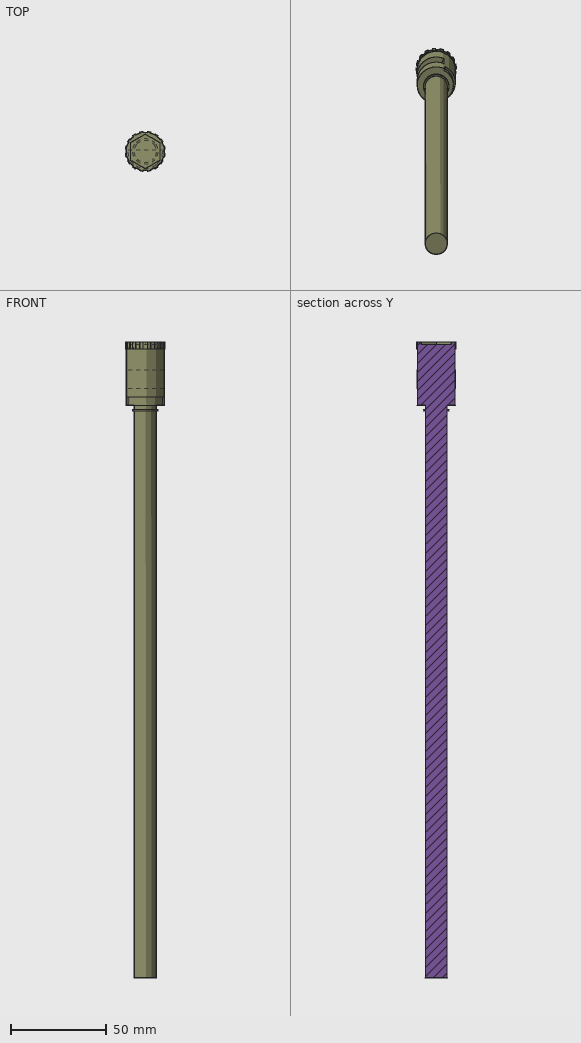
import cadquery as cq
import math

total_height = 334.0
head_height = 33.5
head_bottom = total_height - head_height

rod_diameter = 11.7
collar_diameter = 13.5
head_diameter = 20.0
knurl_diameter = 21.0
step_diameter = 18.0

collar_height = 1.0
collar_gap = 2.0

step_height = 4.5

knurl_height = 3.7
groove_count = 16
groove_width = 2.5
groove_depth = 0.7

hex_across_flats = 15.7
hex_depth = 1.5

notch_top_depth = 14.7
notch_height = 9.7
notch_wall_y = 0.7


def cylinder(diameter, bottom, height):
    return cq.Workplane("XY").workplane(offset=bottom).circle(diameter / 2).extrude(height)


def make_head():
    head = cylinder(head_diameter, head_bottom, head_height)
    step_ring = cylinder(knurl_diameter, head_bottom, step_height).cut(
        cylinder(step_diameter, head_bottom, step_height)
    )
    front_half = cq.Workplane("XY").box(
        knurl_diameter, knurl_diameter, total_height, centered=(True, False, False)
    ).translate((0, -knurl_diameter, 0))
    return head.cut(step_ring.intersect(front_half))


def make_knurl_grooves():
    return (
        cq.Workplane("XY")
        .workplane(offset=total_height - knurl_height)
        .polarArray(knurl_diameter / 2, 0, 360, groove_count)
        .rect(2 * groove_depth, groove_width)
        .extrude(knurl_height)
    )


def make_hex_recess():
    across_corners = hex_across_flats / math.cos(math.radians(30))
    return (
        cq.Workplane("XY")
        .workplane(offset=total_height - hex_depth)
        .transformed(rotate=(0, 0, 90))
        .polygon(6, across_corners)
        .extrude(hex_depth)
    )


def make_notch():
    notch_bottom = total_height - notch_top_depth - notch_height
    return cq.Workplane("XY").box(
        knurl_diameter, knurl_diameter, notch_height, centered=(True, False, False)
    ).translate((0, notch_wall_y, notch_bottom))


rod = cylinder(rod_diameter, 0, head_bottom)
rim = cylinder(knurl_diameter, total_height - knurl_height, knurl_height)
collar = cylinder(collar_diameter, head_bottom - collar_gap - collar_height, collar_height)

result = (
    make_head()
    .union(rim)
    .union(rod)
    .union(collar)
    .cut(make_knurl_grooves())
    .cut(make_hex_recess())
    .cut(make_notch())
)